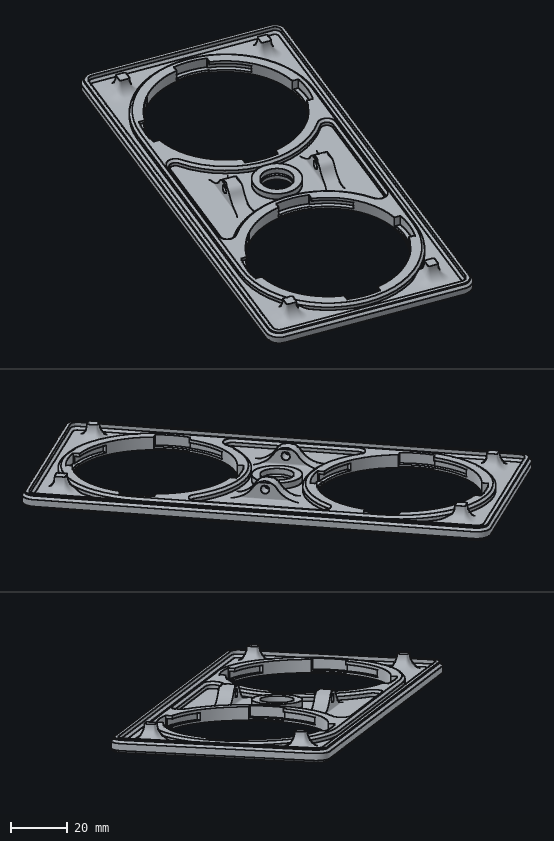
import cadquery as cq
import math

LENGTH = 170.0
WIDTH = 80.0
TOTAL_HEIGHT = 9.5
RIM_HEIGHT = 5.1
RIM_WALL = 2.5
RIM_LIP = 0.5
CORNER_RADIUS = 5.1
EDGE_CHAMFER = 1.0
FLOOR = 2.5

PLATEAU_TOP = 5.0
OPENING_X = 44.4
OPENING_DIAMETER = 58.6
PLATEAU_RADIUS = 34.3
POCKET_HALF_WIDTH = 31.8
POCKET_CORNER_RADIUS = 2.4

ENTRY_WIDTH = 12.8
ENTRY_RADIUS = 31.6
ENTRY_FLOOR = 1.0
SLOT_RADIUS = 31.1
SLOT_CEILING = 3.7
SLOT_END_ANGLE = 42.0
LEDGE_CHAMFER = 0.5

BOSS_DIAMETER = 18.0
BORE_DIAMETER = 12.0
GROOVE_DIAMETER = 17.0
GROOVE_BOTTOM = 1.9
GROOVE_TOP = 2.7

LUG_Y = 17.7
LUG_THICKNESS = 5.6
LUG_HALF_LENGTH = 12.8
LUG_TOP_RADIUS = 5.1
LUG_EDGE_CHAMFER = 0.5
LUG_INNER_FOOT = 1.2
LUG_OUTER_FOOT = 0.5
PIVOT_DIAMETER = 3.0
PIVOT_HEIGHT = 6.5

PIN_X = 72.6
PIN_Y = 27.5
PIN_SIDE = 3.9
PIN_CORNER_RADIUS = 0.5
PIN_TOP = 9.0
PIN_FLARE = 6.3


def disc(diameter, bottom, top, x=0.0):
    """Upright cylinder between two heights."""
    return cq.Workplane("XY", origin=(x, 0, bottom)).circle(diameter / 2).extrude(top - bottom)


def rounded_slab(inset, bottom, top):
    """Slab following the outer outline, moved inwards by the inset."""
    slab = cq.Workplane("XY", origin=(0, 0, bottom)).rect(LENGTH - 2 * inset, WIDTH - 2 * inset)
    return slab.extrude(top - bottom).edges("|Z").fillet(CORNER_RADIUS - inset)


def make_frame():
    """Floor plate inside a raised rim with a thin upright lip and a sloping inner foot."""
    frame = rounded_slab(0, 0, RIM_HEIGHT - RIM_LIP).faces("<Z or >Z").edges().chamfer(EDGE_CHAMFER)
    frame = frame.union(rounded_slab(EDGE_CHAMFER, RIM_HEIGHT - RIM_LIP, RIM_HEIGHT))
    inside = rounded_slab(RIM_WALL, FLOOR, RIM_HEIGHT).faces("<Z").edges().chamfer(EDGE_CHAMFER)
    return frame.cut(inside)


def make_plateau():
    """Raised band joining the two opening rings, hollowed by a bow-tie pocket."""
    height = PLATEAU_TOP - FLOOR
    base = cq.Workplane("XY", origin=(0, 0, FLOOR))
    plateau = base.slot2D(2 * (OPENING_X + PLATEAU_RADIUS), 2 * PLATEAU_RADIUS).extrude(height)
    pocket = base.rect(2 * OPENING_X, 2 * POCKET_HALF_WIDTH).extrude(height)
    for x in (-OPENING_X, OPENING_X):
        pocket = pocket.cut(disc(2 * PLATEAU_RADIUS, FLOOR, PLATEAU_TOP, x))
    pocket = pocket.edges("|Z").fillet(POCKET_CORNER_RADIUS)
    return plateau.cut(pocket).faces(">Z").edges().chamfer(EDGE_CHAMFER)


def make_opening():
    """Cutter for one opening: through hole, four entries and four locking slots."""
    hole_radius = OPENING_DIAMETER / 2
    entry_form = (
        cq.Workplane("XZ")
        .moveTo(0, ENTRY_FLOOR - LEDGE_CHAMFER)
        .lineTo(hole_radius, ENTRY_FLOOR - LEDGE_CHAMFER)
        .lineTo(hole_radius + LEDGE_CHAMFER, ENTRY_FLOOR)
        .lineTo(ENTRY_RADIUS, ENTRY_FLOOR)
        .lineTo(ENTRY_RADIUS, PLATEAU_TOP)
        .lineTo(0, PLATEAU_TOP)
        .close()
        .revolve(360, (0, 0), (0, 1))
    )
    entry_span = cq.Workplane("XY").rect(2 * ENTRY_RADIUS, ENTRY_WIDTH).extrude(PLATEAU_TOP)
    entry_cross = entry_span.union(entry_span.rotate((0, 0, 0), (0, 0, 1), 90))
    cutter = disc(OPENING_DIAMETER, 0, PLATEAU_TOP).union(entry_form.intersect(entry_cross))
    slot = (
        cq.Workplane("XZ", origin=(0, 0, ENTRY_FLOOR))
        .rect(SLOT_RADIUS, SLOT_CEILING - ENTRY_FLOOR, centered=False)
        .revolve(SLOT_END_ANGLE, (0, 0), (0, 1))
    )
    for quarter in range(4):
        cutter = cutter.union(slot.rotate((0, 0, 0), (0, 0, 1), 90 * quarter - SLOT_END_ANGLE))
    return cutter


def make_lug():
    """Pivot lug: a round crown flaring into the floor, with a flared foot along each side.

    The wider foot lies on the -Y side.
    """
    rise = TOTAL_HEIGHT - FLOOR
    radius_sum = (LUG_HALF_LENGTH**2 + rise**2) / (2 * rise)
    crown_z = TOTAL_HEIGHT - LUG_TOP_RADIUS
    flare_radius = radius_sum - LUG_TOP_RADIUS
    flare_z = FLOOR + flare_radius
    tangent_x = LUG_HALF_LENGTH * LUG_TOP_RADIUS / radius_sum
    tangent_z = crown_z + (flare_z - crown_z) * LUG_TOP_RADIUS / radius_sum
    half_turn = math.atan2(LUG_HALF_LENGTH - tangent_x, flare_z - tangent_z) / 2
    flare_x = LUG_HALF_LENGTH - flare_radius * math.sin(half_turn)
    flare_mid_z = flare_z - flare_radius * math.cos(half_turn)
    depth = LUG_THICKNESS + 2 * LUG_INNER_FOOT
    profile = (
        cq.Workplane("XZ", origin=(0, depth / 2, 0))
        .moveTo(-LUG_HALF_LENGTH, FLOOR)
        .threePointArc((-flare_x, flare_mid_z), (-tangent_x, tangent_z))
        .threePointArc((0, TOTAL_HEIGHT), (tangent_x, tangent_z))
        .threePointArc((flare_x, flare_mid_z), (LUG_HALF_LENGTH, FLOOR))
        .close()
        .extrude(depth)
    )
    half = LUG_THICKNESS / 2
    section = (
        cq.Workplane("YZ", origin=(-LUG_HALF_LENGTH, 0, 0))
        .moveTo(-half - LUG_INNER_FOOT, FLOOR)
        .radiusArc((-half, FLOOR + LUG_INNER_FOOT), -LUG_INNER_FOOT)
        .lineTo(-half, TOTAL_HEIGHT - LUG_EDGE_CHAMFER)
        .lineTo(-half + LUG_EDGE_CHAMFER, TOTAL_HEIGHT)
        .lineTo(half - LUG_EDGE_CHAMFER, TOTAL_HEIGHT)
        .lineTo(half, TOTAL_HEIGHT - LUG_EDGE_CHAMFER)
        .lineTo(half, FLOOR + LUG_OUTER_FOOT)
        .radiusArc((half + LUG_OUTER_FOOT, FLOOR), -LUG_OUTER_FOOT)
        .close()
        .extrude(2 * LUG_HALF_LENGTH)
    )
    pivot = (
        cq.Workplane("XZ", origin=(0, depth / 2, PIVOT_HEIGHT))
        .circle(PIVOT_DIAMETER / 2)
        .extrude(depth)
    )
    return profile.intersect(section).cut(pivot).translate((0, LUG_Y, 0))


def make_pin():
    """Square pin with a wide concave flare."""
    pad_side = PIN_SIDE + 3 * PIN_FLARE
    pad = cq.Workplane("XY").rect(pad_side, pad_side).extrude(FLOOR)
    post = cq.Workplane("XY").rect(PIN_SIDE, PIN_SIDE).extrude(PIN_TOP)
    post = post.edges("|Z").fillet(PIN_CORNER_RADIUS)
    around_foot = cq.selectors.BoxSelector(
        (-PIN_SIDE, -PIN_SIDE, FLOOR / 2),
        (PIN_SIDE, PIN_SIDE, 3 * FLOOR / 2),
    )
    return pad.union(post).edges(around_foot).fillet(PIN_FLARE).cut(pad)


result = make_frame().union(make_plateau())
result = result.union(disc(BOSS_DIAMETER, FLOOR, PLATEAU_TOP))
result = result.cut(disc(BORE_DIAMETER, 0, PLATEAU_TOP))
result = result.cut(disc(GROOVE_DIAMETER, GROOVE_BOTTOM, GROOVE_TOP))
lug = make_lug()
result = result.union(lug).union(lug.mirror("XZ"))
pin = make_pin()
for x in (-PIN_X, PIN_X):
    for y in (-PIN_Y, PIN_Y):
        result = result.union(pin.translate((x, y, 0)))
opening = make_opening()
for x in (-OPENING_X, OPENING_X):
    result = result.cut(opening.translate((x, 0, 0)))